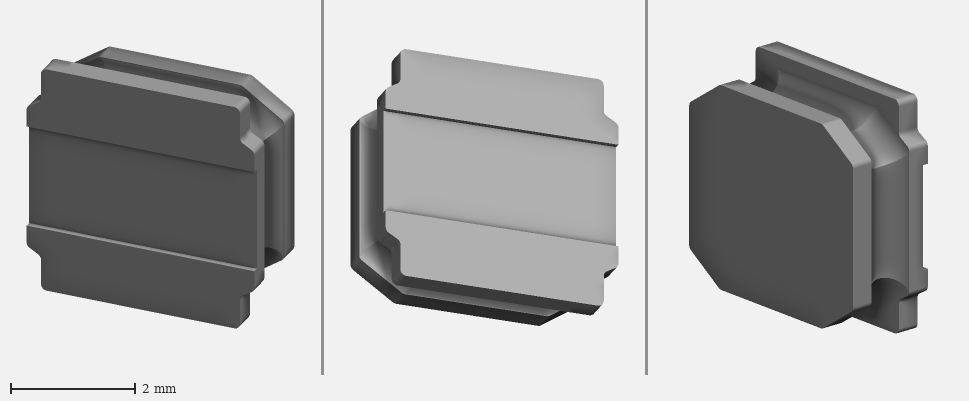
import cadquery as cq
import math

half_width = 2.0
half_thickness = 0.8
flange_thickness = 0.4
half_waist = half_thickness - flange_thickness
corner_radius = 0.1

notch_depth = 0.25
neck_half_width = half_width - notch_depth
shoulder_height = 1.255
shoulder_angle = 30.0
neck_base_height = shoulder_height + notch_depth * math.tan(math.radians(shoulder_angle))
recess_height = 1.79
recess_depth = 0.1

flange_half_height = 1.75
flange_side_height = 1.24
flange_top_half_width = 1.25
top_groove_depth = 0.35
side_groove_depth = 0.28
corner_groove_depth = 0.395
lip_inset = 0.015
groove_overrun = 0.8


def four_way(quarter):
    """Mirror a top-right quarter outline, listed from side to top, into all quadrants."""
    right_top = list(quarter)
    left_top = [(-x, z) for x, z in reversed(quarter)]
    lower_half = [(-x, -z) for x, z in right_top + left_top]
    return right_top + left_top + lower_half


def plate(outline, y_front, thickness):
    """Extrude an XZ outline toward +Y and round its corners."""
    body = cq.Workplane("XZ", origin=(0, y_front, 0)).polyline(outline).close().extrude(-thickness)
    return body.edges("|Y").fillet(corner_radius)


def edge_groove(start, end, groove_depth):
    """Bar with an arc-shaped face that cuts the groove along one octagon side.

    It runs past both ends so that neighbouring grooves meet in a mitre.
    """
    edge = cq.Vector(end[0] - start[0], 0, end[1] - start[1])
    inward = cq.Vector(-edge.z, 0, edge.x)
    origin = cq.Vector(start[0], 0, start[1]) - edge.normalized() * groove_overrun
    profile_plane = cq.Plane(origin=origin, xDir=inward, normal=edge)
    return (
        cq.Workplane(profile_plane)
        .moveTo(lip_inset, -half_waist)
        .threePointArc((groove_depth, 0), (lip_inset, half_waist))
        .lineTo(-half_width, half_waist)
        .lineTo(-half_width, -half_waist)
        .close()
        .extrude(edge.Length + 2 * groove_overrun)
    )


terminal_outline = four_way([
    (half_width, shoulder_height),
    (neck_half_width, neck_base_height),
    (neck_half_width, half_width),
])
terminal_plate = plate(terminal_outline, -half_thickness, flange_thickness)

flange_outline = four_way([
    (half_width, flange_side_height),
    (flange_top_half_width, flange_half_height),
])
flange_and_core = plate(flange_outline, -half_waist, 2 * half_waist + flange_thickness)
groove_depths = [corner_groove_depth, top_groove_depth, corner_groove_depth, side_groove_depth] * 2
next_corners = flange_outline[1:] + flange_outline[:1]
for corner, next_corner, depth in zip(flange_outline, next_corners, groove_depths):
    flange_and_core = flange_and_core.cut(edge_groove(corner, next_corner, depth))

recess = (
    cq.Workplane("XY", origin=(0, -half_thickness, 0))
    .box(2 * half_width, recess_depth, recess_height, centered=(True, False, True))
)

result = terminal_plate.union(flange_and_core).cut(recess)